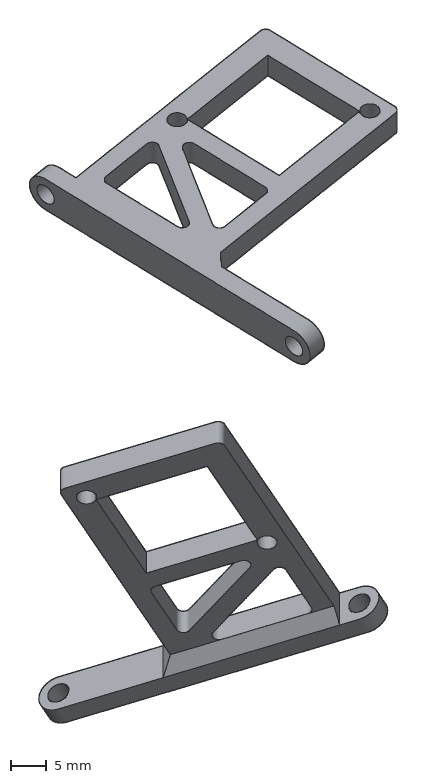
import cadquery as cq
import math

bar_length = 52.0
bar_height = 6.0
bar_thickness = 3.0
bar_hole_diameter = 3.2

total_depth = 43.0
plate_left = 6.0
plate_width = 25.0
plate_thickness = 4.0
plate_corner_radius = 1.0
gusset_size = bar_height - plate_thickness
plate_right = plate_left + plate_width
plate_center_x = plate_left + plate_width / 2

window_size = 17.0
window_center_y = 30.5
screw_hole_diameter = 2.8
screw_offset = 9.5

opening_width = 19.05
opening_height = 14.0
opening_front = 5.0
strut_width = 3.0
strut_angle = 33.3
opening_corner_radius = 1.0


def make_bar():
    """Round-ended bar with a hole at each end's arc center."""
    end_radius = bar_height / 2
    hole_spacing = bar_length - bar_height
    return (
        cq.Workplane("XZ", origin=(bar_length / 2, 0, end_radius))
        .slot2D(bar_length, bar_height)
        .extrude(-bar_thickness)
        .pushPoints([(-hole_spacing / 2, 0), (hole_spacing / 2, 0)])
        .circle(bar_hole_diameter / 2)
        .cutThruAll()
    )


def make_plate():
    """Plate with a gusset to the right and a sloped gusset beneath."""
    gusset_end = bar_thickness + gusset_size
    footprint = (
        cq.Workplane("XY")
        .moveTo(plate_left, 0)
        .lineTo(plate_right + gusset_size, 0)
        .lineTo(plate_right + gusset_size, bar_thickness)
        .lineTo(plate_right, gusset_end)
        .lineTo(plate_right, total_depth)
        .lineTo(plate_left, total_depth)
        .close()
        .extrude(bar_height)
        .edges("|Z and >Y")
        .fillet(plate_corner_radius)
    )
    side_profile = (
        cq.Workplane("YZ")
        .moveTo(0, 0)
        .lineTo(bar_thickness, 0)
        .lineTo(gusset_end, gusset_size)
        .lineTo(total_depth, gusset_size)
        .lineTo(total_depth, bar_height)
        .lineTo(0, bar_height)
        .close()
        .extrude(bar_length)
    )
    return footprint.intersect(side_profile)


def make_window():
    """Square window and its two diagonal screw holes."""
    plane = cq.Workplane("XY", origin=(plate_center_x, window_center_y, 0))
    window = plane.rect(window_size, window_size).extrude(bar_height)
    screw_holes = (
        plane.pushPoints([(-screw_offset, -screw_offset), (screw_offset, screw_offset)])
        .circle(screw_hole_diameter / 2)
        .extrude(bar_height)
    )
    return window.union(screw_holes)


def make_triangle(side):
    """Rounded triangle above (side = 1) or below (side = -1) the strut."""
    half_width = opening_width / 2
    half_height = opening_height / 2
    slope = math.tan(math.radians(strut_angle))
    strut_rise = strut_width / 2 / math.cos(math.radians(strut_angle))
    corners = [
        (half_width, half_height),
        ((strut_rise - half_height) / slope, half_height),
        (half_width, strut_rise - slope * half_width),
    ]
    opening_center_y = opening_front + half_height
    return (
        cq.Workplane("XY", origin=(plate_center_x, opening_center_y, 0))
        .polyline([(side * x, side * y) for x, y in corners])
        .close()
        .extrude(bar_height)
        .edges("|Z")
        .fillet(opening_corner_radius)
    )


result = make_bar().union(make_plate()).cut(make_window())
for side in (-1, 1):
    result = result.cut(make_triangle(side))